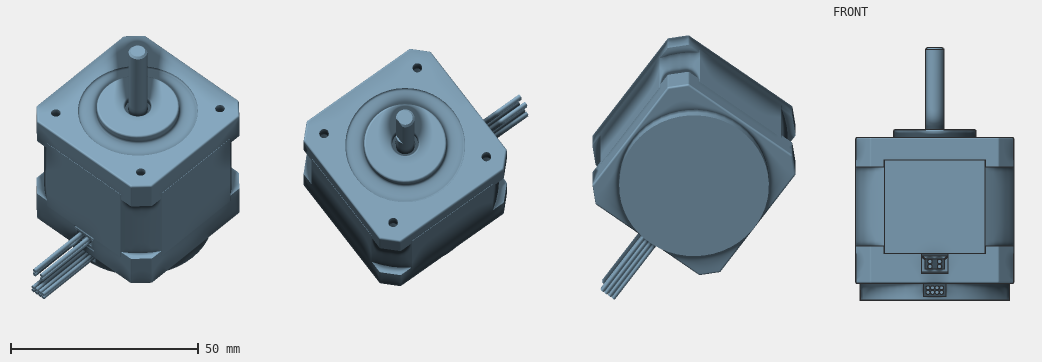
import cadquery as cq
import math

overall_height = 67.5
cap_height = 4.45
body_height = 39.1
body_top = cap_height + body_height
boss_height = 2.0
boss_top = body_top + boss_height

body_width = 42.2
body_half = body_width / 2
corner_cut = 4.0
corner_edge_radius = 0.7
rim_radius = 0.505
waist_bottom = 14.5
waist_height = 21.05

stator_width = 42.3
stator_radius = 25.05
stator_bottom = 12.5
stator_height = 25.05

cap_radius = 20.0

boss_radius = 11.0
boss_edge_radius = 0.505
recess_radius = 16.0
recess_depth = 0.505
bore_radius = 3.5
bore_depth = 1.5
bore_floor = boss_top - bore_depth
clearance_radius = 2.7
clearance_depth = 1.0
clearance_floor = bore_floor - clearance_depth

shaft_radius = 2.5
shaft_bevel = 0.55
flat_offset = 2.0
flat_length = 15.0

mount_spacing = 31.0
mount_radius = 1.3
mount_depth = 4.5
drill_point_angle = 118.0

overall_depth = 60.3
wire_end = stator_width / 2 - overall_depth
wire_rows = 2

plug_width = 7.0
plug_side_gap = 0.1
plug_pocket_height = 5.3
plug_pocket_depth = 2.7
plug_height = 4.3
plug_center = 9.7
socket_width = 5.25
socket_height = 2.6
socket_depth = 2.0
key_slot_width = 0.305
motor_wire_radius = 0.6
motor_wire_columns = 2
motor_wire_column_pitch = 2.55
motor_wire_row_pitch = 1.35

outlet_width = 5.9
outlet_bottom = 1.0
outlet_depth = 2.7
outlet_wire_center = 2.8
outlet_wire_radius = 0.55
outlet_wire_columns = 4
outlet_wire_pitch = 1.2


def disc(radius, bottom, height):
    """Upright cylinder on the motor axis."""
    return cq.Workplane("XY").workplane(offset=bottom).circle(radius).extrude(height)


def cone(bottom_radius, top_radius, bottom, height):
    """Upright truncated cone on the motor axis."""
    solid = cq.Solid.makeCone(bottom_radius, top_radius, height, cq.Vector(0, 0, bottom))
    return cq.Workplane(obj=solid)


def block(width, depth, height, front, bottom):
    """Box centred on X that runs from its front face toward +Y."""
    box = cq.Workplane("XY").box(width, depth, height, centered=(True, False, False))
    return box.translate((0, front, bottom))


def make_body():
    """Two end bells with cut corners, joined by the stator across the waist between them."""
    body = block(body_width, body_width, body_height, -body_half, cap_height)
    body = body.edges("|Z").chamfer(corner_cut)
    body = body.edges("|Z").fillet(corner_edge_radius)
    body = body.faces("<Z or >Z").edges().fillet(rim_radius)
    waist = block(body_width, body_width, waist_height, -body_half, waist_bottom)
    return body.cut(waist).union(make_stator())


def make_stator():
    square = block(stator_width, stator_width, stator_height, -stator_width / 2, stator_bottom)
    return square.intersect(disc(stator_radius, stator_bottom, stator_height))


def cut_ring_recess(body):
    """Cut the ring around the boss; its two walls are quarter rounds that run out into the floor."""
    floor = body_top - recess_depth
    profile = (
        cq.Workplane("XZ")
        .moveTo(boss_radius, body_top)
        .radiusArc((boss_radius + recess_depth, floor), -recess_depth)
        .lineTo(recess_radius - recess_depth, floor)
        .radiusArc((recess_radius, body_top), -recess_depth)
        .close()
    )
    return body.cut(profile.revolve(360, (0, 0), (0, 1)))


def make_boss():
    boss = disc(boss_radius, body_top, boss_height)
    boss = boss.cut(disc(bore_radius, bore_floor, bore_depth))
    return boss.faces(">Z").edges().fillet(boss_edge_radius)


def cut_shaft_clearance(body):
    return body.cut(disc(clearance_radius, clearance_floor, clearance_depth))


def make_shaft():
    shaft = disc(shaft_radius, clearance_floor, overall_height - clearance_floor)
    shaft = shaft.faces(">Z").edges().chamfer(shaft_bevel)
    flat = block(2 * shaft_radius, shaft_radius, flat_length, flat_offset, overall_height - flat_length)
    return shaft.cut(flat)


def cut_mount_holes(body):
    point_height = mount_radius / math.tan(math.radians(drill_point_angle / 2))
    floor = body_top - mount_depth
    hole = disc(mount_radius, floor, mount_depth)
    hole = hole.union(cone(0, mount_radius, floor - point_height, point_height))
    offset = mount_spacing / 2
    for x in (-offset, offset):
        for y in (-offset, offset):
            body = body.cut(hole.translate((x, y, 0)))
    return body


def cut_plug(body):
    """Cut the plug pocket, leaving the plug itself standing in it."""
    front = -body_half
    pocket_bottom = stator_bottom - plug_pocket_height
    pocket_width = plug_width + 2 * plug_side_gap
    pocket = block(pocket_width, plug_pocket_depth, plug_pocket_height, front, pocket_bottom)
    plug = block(plug_width, plug_pocket_depth, plug_height, front, plug_center - plug_height / 2)
    socket = block(socket_width, socket_depth, socket_height, front, plug_center - socket_height / 2)
    plug = plug.cut(socket)

    run = (plug_width - socket_width) / 2
    rise = (plug_height - socket_height) / 2
    slot_length = math.hypot(run, rise)
    slot_angle = math.degrees(math.atan2(rise, run))
    slot = block(slot_length, socket_depth, key_slot_width, front, -key_slot_width / 2)
    for side in (-1, 1):
        key = slot.rotate((0, 0, 0), (0, 1, 0), -side * slot_angle)
        x = side * (socket_width + run) / 2
        plug = plug.cut(key.translate((x, 0, plug_center + (socket_height + rise) / 2)))
    return body.cut(pocket).union(plug)


def cut_outlet(body):
    height = cap_height - outlet_bottom
    return body.cut(block(outlet_width, outlet_depth, height, -cap_radius, outlet_bottom))


def add_wires(body, start, center, radius, columns, column_pitch, row_pitch):
    """Add a grid of straight wires that run from start to the common end plane."""
    for column in range(columns):
        x = (column - (columns - 1) / 2) * column_pitch
        for row in range(wire_rows):
            z = center + (row - (wire_rows - 1) / 2) * row_pitch
            tip = cq.Vector(x, wire_end, z)
            wire = cq.Solid.makeCylinder(radius, start - wire_end, tip, cq.Vector(0, 1, 0))
            body = body.union(cq.Workplane(obj=wire))
    return body


motor = make_body()
motor = motor.union(disc(cap_radius, 0, cap_height))
motor = cut_ring_recess(motor)
motor = motor.union(make_boss())
motor = cut_shaft_clearance(motor)
motor = motor.union(make_shaft())
motor = cut_mount_holes(motor)
motor = cut_plug(motor)
motor = cut_outlet(motor)
motor = add_wires(motor, -body_half + socket_depth, plug_center, motor_wire_radius,
                  motor_wire_columns, motor_wire_column_pitch, motor_wire_row_pitch)
motor = add_wires(motor, -cap_radius + outlet_depth, outlet_wire_center, outlet_wire_radius,
                  outlet_wire_columns, outlet_wire_pitch, outlet_wire_pitch)
result = motor